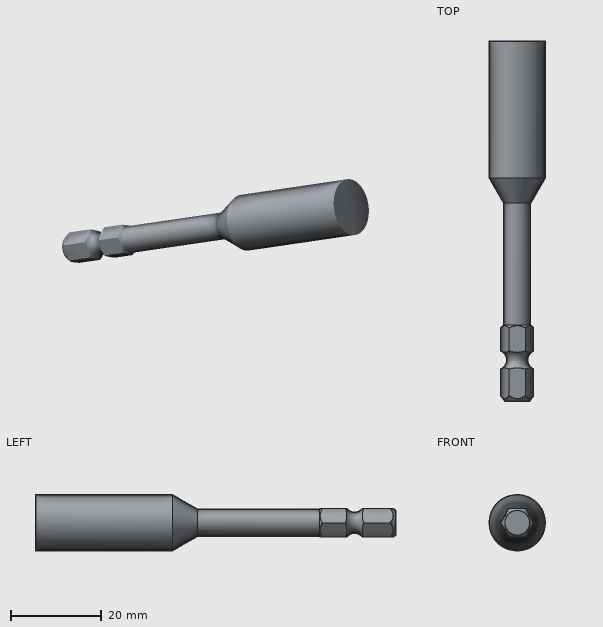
import cadquery as cq
import math

TOTAL_LENGTH = 80.0
HEAD_DIAMETER = 12.5
SHANK_DIAMETER = 6.0

HEX_LENGTH = 17.0
CONE_START = 44.0
CONE_HALF_ANGLE = 30.0

HEX_SIDES = 6
HEX_ACROSS_FLATS = 6.35
TIP_DIAMETER = 5.5
TIP_CHAMFER_LENGTH = 1.3
GROOVE_CENTER = 9.2
GROOVE_DIAMETER = 4.7
GROOVE_RADIUS = 2.2

HEAD_RADIUS = HEAD_DIAMETER / 2
SHANK_RADIUS = SHANK_DIAMETER / 2
TIP_RADIUS = TIP_DIAMETER / 2
HEX_CORNER_RADIUS = HEX_ACROSS_FLATS / 2 / math.cos(math.pi / HEX_SIDES)
CONE_END = CONE_START + (HEAD_RADIUS - SHANK_RADIUS) / math.tan(math.radians(CONE_HALF_ANGLE))
DRIVE_END_Y = -TOTAL_LENGTH / 2


def revolve_about_axis(profile):
    """Turn a closed (radius, distance) profile about the tool axis."""
    return profile.close().revolve(360, (0, 0), (0, 1))


def make_head_and_shank():
    """Round shank, starting at the back of the hexagon, flaring into the head."""
    profile = (
        cq.Workplane("XY")
        .moveTo(0, HEX_LENGTH)
        .lineTo(SHANK_RADIUS, HEX_LENGTH)
        .lineTo(SHANK_RADIUS, CONE_START)
        .lineTo(HEAD_RADIUS, CONE_END)
        .lineTo(HEAD_RADIUS, TOTAL_LENGTH)
        .lineTo(0, TOTAL_LENGTH)
    )
    return revolve_about_axis(profile)


def make_drive_envelope():
    """Turned limit of the drive: tip chamfer, ball groove and 45 degree back chamfer."""
    groove_depth = HEX_CORNER_RADIUS - GROOVE_DIAMETER / 2
    groove_half_width = math.sqrt(GROOVE_RADIUS**2 - (GROOVE_RADIUS - groove_depth) ** 2)
    back_chamfer = HEX_CORNER_RADIUS - SHANK_RADIUS
    profile = (
        cq.Workplane("XY")
        .lineTo(TIP_RADIUS, 0)
        .lineTo(HEX_CORNER_RADIUS, TIP_CHAMFER_LENGTH)
        .lineTo(HEX_CORNER_RADIUS, GROOVE_CENTER - groove_half_width)
        .threePointArc(
            (GROOVE_DIAMETER / 2, GROOVE_CENTER),
            (HEX_CORNER_RADIUS, GROOVE_CENTER + groove_half_width),
        )
        .lineTo(HEX_CORNER_RADIUS, HEX_LENGTH - back_chamfer)
        .lineTo(SHANK_RADIUS, HEX_LENGTH)
        .lineTo(0, HEX_LENGTH)
    )
    return revolve_about_axis(profile)


def make_hex_drive():
    """Hexagonal bar, with flats facing up and down, trimmed to the turned envelope."""
    hex_bar = (
        cq.Workplane("XZ")
        .polygon(HEX_SIDES, 2 * HEX_CORNER_RADIUS)
        .extrude(-HEX_LENGTH)
    )
    return hex_bar.intersect(make_drive_envelope())


result = make_head_and_shank().union(make_hex_drive()).translate((0, DRIVE_END_Y, 0))